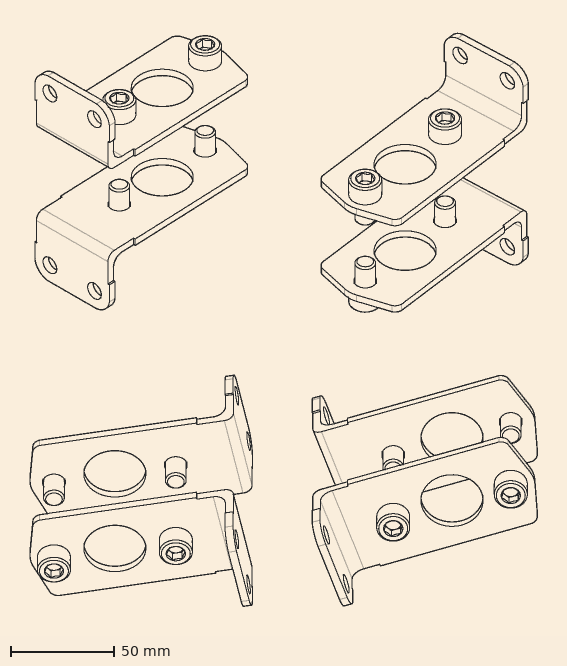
import cadquery as cq
import math

TOTAL_HEIGHT = 124.0
WIDTH = 50.0
LENGTH = 104.5
THICKNESS = 4.0
FLANGE_HEIGHT = 37.0
INNER_BEND = 6.0
OUTER_BEND = 4.5
CORNER_RADIUS = 10.0
CORNER_REACH = 8.7
RELIEF_DEPTH = 1.0
RELIEF_REACH = 18.0
TIP_ANGLE = 15.0
TIP_RADIUS = 15.0
SHOULDER_RADIUS = 5.0
SHOULDER_REACH = 3.0
FLANGE_HOLE = 9.0
FLANGE_HOLE_INSET = 10.0
WINDOW = 30.0
CLEARANCE_HOLE = 11.0

SCREW_PITCH = 60.0
FIRST_SCREW = 33.0
HEAD_DIAMETER = 16.0
HEAD_HEIGHT = 10.0
HEAD_CHAMFER = 1.0
SHANK_DIAMETER = 10.0
SHANK_LENGTH = 16.0
SHANK_CHAMFER = 1.0
SOCKET_FLATS = 7.9
SOCKET_MOUTH = 9.3
SOCKET_DEPTH = 5.0
SOCKET_CONE = 60.0

HALF_WIDTH = WIDTH / 2
FLANGE_Y = -LENGTH / 2
TIP_Y = LENGTH / 2
TOP_Z = TOTAL_HEIGHT / 2
PLATE_BOTTOM = TOP_Z - FLANGE_HEIGHT
PLATE_TOP = PLATE_BOTTOM + THICKNESS
SCREW_YS = [FLANGE_Y + FIRST_SCREW, FLANGE_Y + FIRST_SCREW + SCREW_PITCH]
WINDOW_Y = sum(SCREW_YS) / 2


def bent_sheet():
    """L-shaped sheet with a rounded bend, extruded over the full width."""
    return (
        cq.Workplane("YZ", origin=(-HALF_WIDTH, 0, 0))
        .moveTo(FLANGE_Y + OUTER_BEND, PLATE_BOTTOM)
        .lineTo(TIP_Y, PLATE_BOTTOM)
        .lineTo(TIP_Y, PLATE_TOP)
        .lineTo(FLANGE_Y + THICKNESS + INNER_BEND, PLATE_TOP)
        .radiusArc((FLANGE_Y + THICKNESS, PLATE_TOP + INNER_BEND), INNER_BEND)
        .lineTo(FLANGE_Y + THICKNESS, TOP_Z)
        .lineTo(FLANGE_Y, TOP_Z)
        .lineTo(FLANGE_Y, PLATE_BOTTOM + OUTER_BEND)
        .radiusArc((FLANGE_Y + OUTER_BEND, PLATE_BOTTOM), -OUTER_BEND)
        .close()
        .extrude(WIDTH)
    )


def plate_outline():
    """Plan outline with a pointed, rounded end, extruded over the full bracket height."""
    tilt = math.radians(TIP_ANGLE)
    tip_arc_x = TIP_RADIUS * math.sin(tilt)
    tip_arc_y = TIP_Y - TIP_RADIUS * (1 - math.cos(tilt))
    corner_y = tip_arc_y - (HALF_WIDTH - tip_arc_x) * math.tan(tilt)
    side_end_y = corner_y - SHOULDER_REACH
    slope_start_x = HALF_WIDTH - SHOULDER_REACH * math.cos(tilt)
    slope_start_y = corner_y + SHOULDER_REACH * math.sin(tilt)
    return (
        cq.Workplane("XY", origin=(0, 0, PLATE_BOTTOM))
        .moveTo(-HALF_WIDTH, FLANGE_Y)
        .lineTo(HALF_WIDTH, FLANGE_Y)
        .lineTo(HALF_WIDTH, side_end_y)
        .radiusArc((slope_start_x, slope_start_y), -SHOULDER_RADIUS)
        .lineTo(tip_arc_x, tip_arc_y)
        .radiusArc((-tip_arc_x, tip_arc_y), -TIP_RADIUS)
        .lineTo(-slope_start_x, slope_start_y)
        .radiusArc((-HALF_WIDTH, side_end_y), -SHOULDER_RADIUS)
        .close()
        .extrude(FLANGE_HEIGHT)
    )


def flange_outline():
    """Front outline with two rounded corners at the flange end, extruded over the full length."""
    side_end_z = TOP_Z - CORNER_REACH
    end_x = HALF_WIDTH - CORNER_REACH
    return (
        cq.Workplane("XZ", origin=(0, TIP_Y, 0))
        .moveTo(-HALF_WIDTH, PLATE_BOTTOM)
        .lineTo(HALF_WIDTH, PLATE_BOTTOM)
        .lineTo(HALF_WIDTH, side_end_z)
        .radiusArc((end_x, TOP_Z), -CORNER_RADIUS)
        .lineTo(-end_x, TOP_Z)
        .radiusArc((-HALF_WIDTH, side_end_z), -CORNER_RADIUS)
        .close()
        .extrude(LENGTH)
    )


def bend_reliefs():
    """Blocks that step the sides inward around the bend."""
    return (
        cq.Workplane("XY", origin=(0, FLANGE_Y + RELIEF_REACH / 2, PLATE_BOTTOM + RELIEF_REACH / 2))
        .pushPoints([(-HALF_WIDTH, 0), (HALF_WIDTH, 0)])
        .box(2 * RELIEF_DEPTH, RELIEF_REACH, RELIEF_REACH)
    )


def make_bracket():
    """Upper bracket: plate below, flange pointing up."""
    bracket = bent_sheet().intersect(plate_outline()).intersect(flange_outline())
    bracket = bracket.cut(bend_reliefs())

    hole_x = HALF_WIDTH - FLANGE_HOLE_INSET
    hole_z = TOP_Z - FLANGE_HOLE_INSET
    flange_holes = (
        cq.Workplane("XZ", origin=(0, FLANGE_Y + THICKNESS, 0))
        .pushPoints([(-hole_x, hole_z), (hole_x, hole_z)])
        .circle(FLANGE_HOLE / 2)
        .extrude(THICKNESS)
    )
    plate_base = cq.Workplane("XY", origin=(0, 0, PLATE_BOTTOM))
    window = plate_base.center(0, WINDOW_Y).circle(WINDOW / 2).extrude(THICKNESS)
    screw_holes = (
        plate_base.pushPoints([(0, y) for y in SCREW_YS])
        .circle(CLEARANCE_HOLE / 2)
        .extrude(THICKNESS)
    )
    return bracket.cut(flange_holes).cut(window).cut(screw_holes)


def make_screw(y):
    """Upper screw at the given Y: head on the plate, shank pointing down."""
    seat = cq.Workplane("XY", origin=(0, y, PLATE_TOP))
    head = seat.circle(HEAD_DIAMETER / 2).extrude(HEAD_HEIGHT).faces(">Z").chamfer(HEAD_CHAMFER)
    shank = seat.circle(SHANK_DIAMETER / 2).extrude(-SHANK_LENGTH).faces("<Z").chamfer(SHANK_CHAMFER)

    head_top = PLATE_TOP + HEAD_HEIGHT
    corner_diameter = SOCKET_FLATS / math.cos(math.pi / 6)
    cone_radius = SOCKET_FLATS / 2
    cone_depth = cone_radius / math.tan(math.radians(SOCKET_CONE))
    socket_mouth = cq.Workplane("XY", origin=(0, y, head_top))
    hexagon = socket_mouth.transformed(rotate=(0, 0, 90)).polygon(6, corner_diameter).extrude(-SOCKET_DEPTH)
    countersink = cq.Solid.makeCone(
        SOCKET_MOUTH / 2, 0, SOCKET_MOUTH / 2, cq.Vector(0, y, head_top), cq.Vector(0, 0, -1)
    )
    cone = cq.Solid.makeCone(
        cone_radius, 0, cone_depth, cq.Vector(0, y, head_top - SOCKET_DEPTH), cq.Vector(0, 0, -1)
    )
    screw = head.union(shank).cut(hexagon)
    return screw.cut(cq.Workplane(cone)).cut(cq.Workplane(countersink))


upper_bracket = make_bracket()
brackets = [upper_bracket, upper_bracket.mirror("XY")]

screws = []
for screw_y in SCREW_YS:
    upper_screw = make_screw(screw_y)
    screws.append(upper_screw)
    screws.append(upper_screw.mirror("XY"))

result = cq.Compound.makeCompound([body.val() for body in brackets + screws])